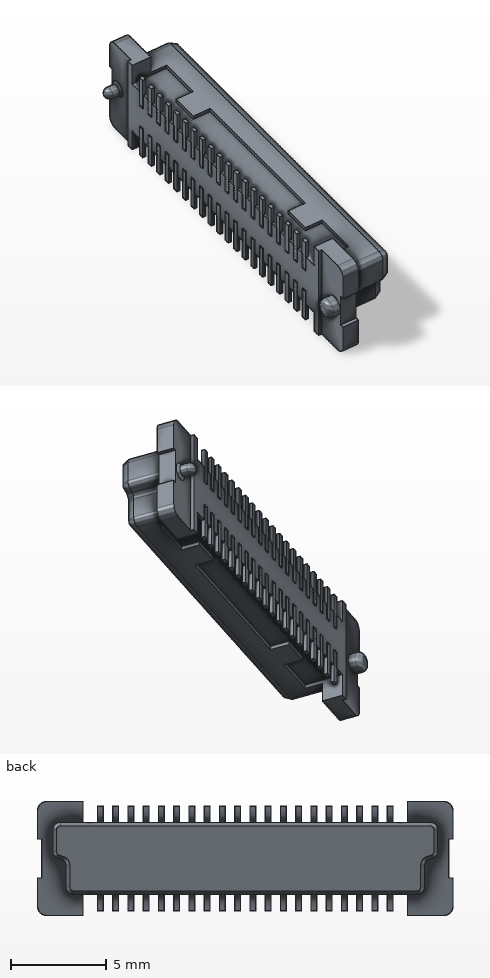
import cadquery as cq
import math


CHAMFER_DEPTH = 0.4
RECESS_DEPTH = 1.5
FLANGE_DEPTH = 2.5
TONGUE_DEPTH = 2.57
FLANGE_BOTTOM_DEPTH = 3.49
BASE_BOTTOM_DEPTH = 3.68
TOTAL_DEPTH = 4.35

LENGTH = 21.8
FLANGE_HEIGHT = 6.0
FLANGE_WIDTH = 2.4
FLANGE_CORNER_RADIUS = 0.5
STEP_WIDTH = 0.41
NOTCH_DEPTH = 0.22
NOTCH_HEIGHT = 2.03

PLUG_INSET = 0.8
PLUG_HEIGHT = 3.8
PLUG_CORNER_RADIUS = 0.4
CHAMFER_WIDTH = 0.2
KEY_TOP_Z = 0.09
KEY_BOTTOM_Z = -0.15
KEY_SLOPE_ANGLE = 19.0
KEY_INNER_RADIUS = 0.3

BASE_HEIGHT = 3.35
TONGUE_WIDTH = 1.6
TONGUE_CENTER_X = 5.23

TAILS_PER_ROW = 20
TAIL_ROW_SPAN = 15.2
TAIL_WIDTH = 0.3
TAIL_LENGTH = 2.0
TAIL_THICKNESS = 0.2
TAIL_STANDOFF = 0.05
TAIL_CENTER_Z = 1.75

PEG_INSET = 0.78
ROUND_PEG_RADIUS = 0.33
ROUND_PEG_FOOT_RADIUS = 0.48
ROUND_PEG_FOOT_LENGTH = 0.13
BLUNT_PEG_RADIUS = 0.55
BLUNT_PEG_LENGTH = 0.72
BLUNT_PEG_FILLET = 0.3

HALF_LENGTH = LENGTH / 2
FLANGE_INNER_X = HALF_LENGTH - FLANGE_WIDTH
PEG_X = HALF_LENGTH - PEG_INSET


def plane_at(depth):
    """XZ workplane at a depth; positive extrusion runs toward the board."""
    return cq.Workplane("XZ", origin=(0, -depth, 0))


def block(width, height, start, end, x=0, z=0):
    """Rectangular block between two depths, centred on (x, z)."""
    return plane_at(start).center(x, z).rect(width, height).extrude(end - start)


def edges_between(low_z, high_z):
    """Selector for the edges whose centres lie between two heights."""
    return cq.selectors.BoxSelector((-LENGTH, -TOTAL_DEPTH, low_z), (LENGTH, 0, high_z))


def make_plug():
    """Keyed plug body whose lower half is narrower than its upper half."""
    half_width = HALF_LENGTH - PLUG_INSET
    half_height = PLUG_HEIGHT / 2
    key_run = (KEY_TOP_Z - KEY_BOTTOM_Z) / math.tan(math.radians(KEY_SLOPE_ANGLE))
    lower_half_width = half_width - key_run
    outline = [
        (-half_width, half_height),
        (half_width, half_height),
        (half_width, KEY_TOP_Z),
        (lower_half_width, KEY_BOTTOM_Z),
        (lower_half_width, -half_height),
        (-lower_half_width, -half_height),
        (-lower_half_width, KEY_BOTTOM_Z),
        (-half_width, KEY_TOP_Z),
    ]
    body_length = FLANGE_BOTTOM_DEPTH - CHAMFER_DEPTH
    body = plane_at(CHAMFER_DEPTH).polyline(outline).close().extrude(body_length)

    key_middle_z = (KEY_TOP_Z + KEY_BOTTOM_Z) / 2
    concave_corners = edges_between(KEY_BOTTOM_Z - KEY_INNER_RADIUS, key_middle_z)
    upper_corners = edges_between(key_middle_z, FLANGE_HEIGHT)
    body = body.edges("|Y").edges(concave_corners).fillet(KEY_INNER_RADIUS)
    body = body.edges("|Y").edges(upper_corners).fillet(PLUG_CORNER_RADIUS)
    body = body.edges("|Y and <Z").fillet(PLUG_CORNER_RADIUS)

    taper = math.degrees(math.atan(CHAMFER_WIDTH / CHAMFER_DEPTH))
    front_face = body.faces(">Y").wires().toPending().workplane()
    nose = front_face.extrude(CHAMFER_DEPTH, taper=taper, combine=False)
    return body.union(nose)


def cut_side_recesses(body):
    """Thin both long sides down to the base height, leaving the tongues standing."""
    wall = (PLUG_HEIGHT - BASE_HEIGHT) / 2
    wall_z = (PLUG_HEIGHT - wall) / 2
    for side in (-1, 1):
        z = side * wall_z
        recess = block(2 * FLANGE_INNER_X, wall, RECESS_DEPTH, BASE_BOTTOM_DEPTH, z=z)
        for x in (-TONGUE_CENTER_X, TONGUE_CENTER_X):
            recess = recess.cut(block(TONGUE_WIDTH, wall, RECESS_DEPTH, TONGUE_DEPTH, x, z))
        body = body.cut(recess)
    return body


def make_flange(side):
    """End flange with a notch in its outer side and a raised step along its inner side."""
    center_x = side * (HALF_LENGTH - FLANGE_WIDTH / 2)
    flange = block(FLANGE_WIDTH, FLANGE_HEIGHT, FLANGE_DEPTH, FLANGE_BOTTOM_DEPTH, center_x)
    outer_edges = "|Y and >X" if side > 0 else "|Y and <X"
    flange = flange.edges(outer_edges).fillet(FLANGE_CORNER_RADIUS)
    notch_x = side * (HALF_LENGTH - NOTCH_DEPTH / 2)
    flange = flange.cut(block(NOTCH_DEPTH, NOTCH_HEIGHT, FLANGE_DEPTH, FLANGE_BOTTOM_DEPTH, notch_x))
    step_x = side * (FLANGE_INNER_X + STEP_WIDTH / 2)
    return flange.union(block(STEP_WIDTH, FLANGE_HEIGHT, FLANGE_DEPTH, BASE_BOTTOM_DEPTH, step_x))


def make_tails():
    """Two rows of contact tails standing slightly proud of the base."""
    bottom = BASE_BOTTOM_DEPTH + TAIL_STANDOFF
    pitch = TAIL_ROW_SPAN / (TAILS_PER_ROW - 1)
    return (
        plane_at(bottom - TAIL_THICKNESS)
        .rarray(pitch, 2 * TAIL_CENTER_Z, TAILS_PER_ROW, 2)
        .rect(TAIL_WIDTH, TAIL_LENGTH)
        .extrude(TAIL_THICKNESS)
    )


def make_round_peg():
    """Peg with a conical foot and a hemispherical tip, revolved about its axis."""
    foot_y = -FLANGE_BOTTOM_DEPTH
    shaft_y = foot_y - ROUND_PEG_FOOT_LENGTH
    tip_y = -TOTAL_DEPTH
    dome_y = tip_y + ROUND_PEG_RADIUS
    arc_offset = ROUND_PEG_RADIUS * math.sqrt(0.5)
    profile = (
        cq.Workplane("XY")
        .moveTo(0, foot_y)
        .lineTo(ROUND_PEG_FOOT_RADIUS, foot_y)
        .lineTo(ROUND_PEG_RADIUS, shaft_y)
        .lineTo(ROUND_PEG_RADIUS, dome_y)
        .threePointArc((arc_offset, dome_y - arc_offset), (0, tip_y))
        .close()
    )
    return profile.revolve(360, (0, 0, 0), (0, 1, 0)).translate((-PEG_X, 0, 0))


def make_blunt_peg():
    """Wide, short peg with a rounded rim and a flat end."""
    peg = plane_at(FLANGE_BOTTOM_DEPTH).center(PEG_X, 0).circle(BLUNT_PEG_RADIUS)
    peg = peg.extrude(BLUNT_PEG_LENGTH)
    return peg.faces("<Y").edges().fillet(BLUNT_PEG_FILLET)


base = block(2 * FLANGE_INNER_X, BASE_HEIGHT, RECESS_DEPTH, BASE_BOTTOM_DEPTH)
result = cut_side_recesses(make_plug()).union(base)
for flange_side in (-1, 1):
    result = result.union(make_flange(flange_side))
result = result.union(make_tails()).union(make_round_peg()).union(make_blunt_peg())